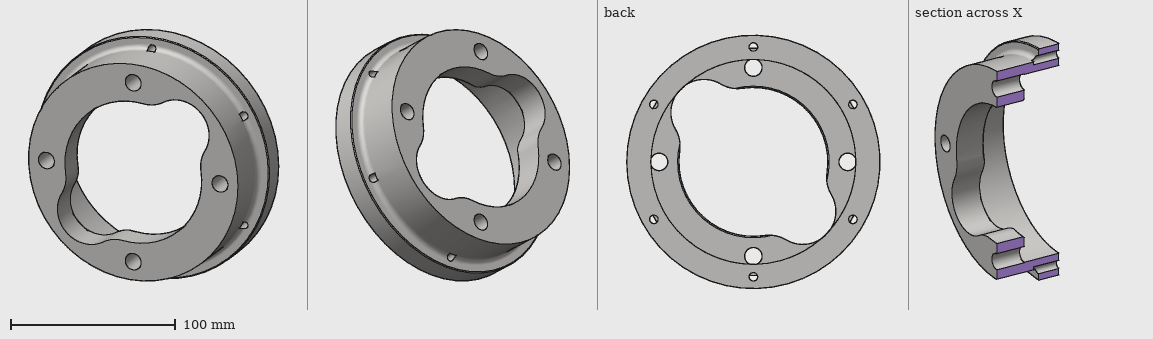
import cadquery as cq
import math

flange_radius = 77.0
total_length = 45.0
flange_thickness = 15.0
flange_chamfer = 0.6
body_radius = 69.1
root_fillet = 3.1

bore_radius = 45.1
lobe_radius = 20.0
lobe_offset = 30.0 * math.sqrt(2)
lobe_angle = 45.0
lobe_blend = 20.0
bore_chamfer = 1.0

web_thickness = 20.0
recess_radius = 62.2

bolt_radius = 57.3
bolt_diameter = 10.5
bolt_count = 4
vent_radius = 69.8
vent_diameter = 5.1
vent_count = 6
vent_start_angle = 30.0

body_length = total_length - flange_thickness


def cylinder(radius, start, end):
    """Solid cylinder along +Y between two Y positions."""
    return cq.Workplane("XZ", origin=(0, start, 0)).circle(radius).extrude(start - end)


def hole_ring(radius, diameter, count, start_angle, start, end):
    """Ring of equally spaced cylinders along +Y."""
    return (
        cq.Workplane("XZ", origin=(0, start, 0))
        .polarArray(radius, start_angle, 360, count)
        .circle(diameter / 2)
        .extrude(start - end)
    )


def lobed_opening():
    """Round bore joined to two opposed lobes by tangent blends."""
    lobe_x = lobe_offset * math.cos(math.radians(lobe_angle))
    lobe_z = lobe_offset * math.sin(math.radians(lobe_angle))
    lobes = (
        cq.Workplane("XZ")
        .pushPoints([(lobe_x, lobe_z), (-lobe_x, -lobe_z)])
        .circle(lobe_radius)
        .extrude(-web_thickness)
    )
    opening = cylinder(bore_radius, 0, web_thickness).union(lobes)
    corner_along = (bore_radius**2 + lobe_offset**2 - lobe_radius**2) / (2 * lobe_offset)
    corner_across = math.sqrt(bore_radius**2 - corner_along**2)
    corner_turn = math.degrees(math.atan2(corner_across, corner_along))
    for axis_angle in (lobe_angle, lobe_angle + 180):
        for turn in (corner_turn, -corner_turn):
            angle = math.radians(axis_angle + turn)
            corner = (bore_radius * math.cos(angle), web_thickness / 2, bore_radius * math.sin(angle))
            opening = opening.edges(cq.selectors.NearestToPointSelector(corner)).fillet(lobe_blend)
    return opening


def ring_blank():
    """Flange and body, turned as one profile with a root fillet."""
    profile = (
        cq.Workplane("XY")
        .lineTo(body_radius, 0)
        .lineTo(body_radius, body_length - root_fillet)
        .radiusArc((body_radius + root_fillet, body_length), root_fillet)
        .lineTo(flange_radius - flange_chamfer, body_length)
        .lineTo(flange_radius, body_length + flange_chamfer)
        .lineTo(flange_radius, total_length)
        .lineTo(0, total_length)
        .close()
    )
    return profile.revolve(360, (0, 0, 0), (0, 1, 0))


def bore_chamfer_cone():
    """Cone that bevels the rear edge of the bore where it meets the recess."""
    return (
        cq.Workplane("XY")
        .moveTo(0, web_thickness - bore_chamfer)
        .lineTo(bore_radius, web_thickness - bore_chamfer)
        .lineTo(bore_radius + bore_chamfer, web_thickness)
        .lineTo(0, web_thickness)
        .close()
        .revolve(360, (0, 0, 0), (0, 1, 0))
    )


bolt_holes = hole_ring(bolt_radius, bolt_diameter, bolt_count, 0, 0, web_thickness)
vent_holes = hole_ring(
    vent_radius, vent_diameter, vent_count, vent_start_angle, body_length - root_fillet, total_length
)
recess = cylinder(recess_radius, web_thickness, total_length)

result = (
    ring_blank()
    .cut(recess)
    .cut(lobed_opening())
    .cut(bore_chamfer_cone())
    .cut(bolt_holes)
    .cut(vent_holes)
)